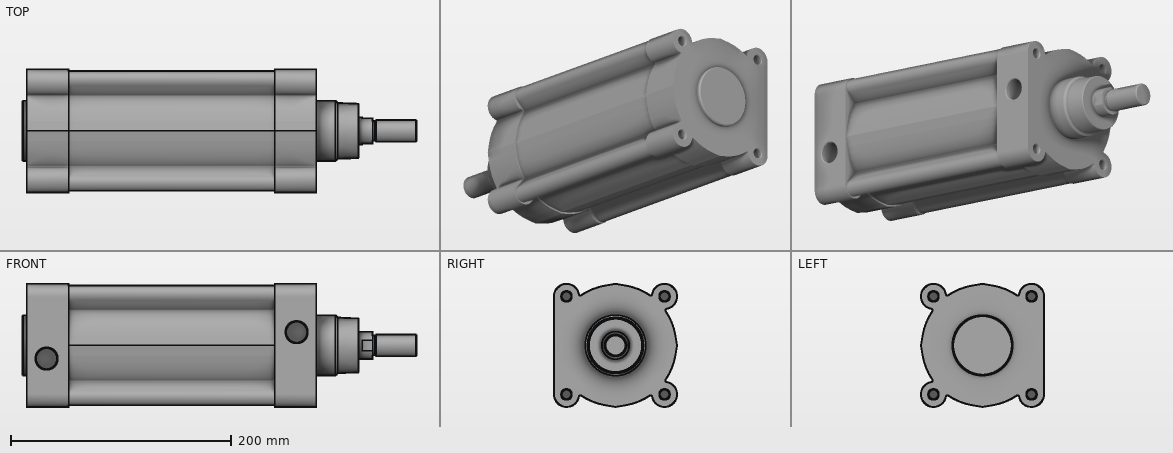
import cadquery as cq
import math

cap_length = 38.0
barrel_length = 187.0
front_cap_start = cap_length + barrel_length
front_face = front_cap_start + cap_length

cap_half_size = 56.0
corner_offset = 44.5
cap_lobe_radius = cap_half_size - corner_offset
barrel_half_size = 54.5
barrel_lobe_radius = 7.75
barrel_lobe_offset = barrel_half_size - barrel_lobe_radius
ridge_half_width = 9.2
notch_fillet = 1.3
notch_near_limit = 25.0
notch_far_limit = 38.0

screw_hole_diameter = 8.5
screw_hole_depth = 20.0
screw_hole_chamfer = 0.75

port_diameter = 19.0
port_depth = 22.0
port_chamfer = 0.75
port_inset = 18.0
port_height = 12.0

spigot_radius = 27.5
spigot_length = 4.0
spigot_chamfer = 1.0
nose_collar_length = 17.3
nose_step_length = 2.0
nose_step_radius = 25.5
nose_tip_radius = 24.8
nose_length = 38.5
nose_tip_chamfer = 0.7

rod_radius = 12.5
rod_shoulder = front_face + 51.0
thread_radius = 10.0
thread_length = 40.0
thread_start_chamfer = 1.5
thread_end_chamfer = 1.0
undercut_radius = 9.0
undercut_length = 2.0
wrench_flat_width = 23.0
wrench_flat_length = 9.5


def disc(x_start, length, radius, y=0.0, z=0.0):
    """Cylinder along +X starting at x_start."""
    plane = cq.Plane(origin=(x_start, y, z), xDir=(0, 1, 0), normal=(1, 0, 0))
    return cq.Workplane(plane).circle(radius).extrude(length)


def corner_points(offset):
    """The four (Y, Z) corners of a square with this half side."""
    return [(y, z) for y in (-offset, offset) for z in (-offset, offset)]


def ridged_round(x_start, length, half_size):
    """Round bar whose four sides rise along tangent flats to shallow ridges at half_size."""
    angle = math.asin(2 * ridge_half_width / half_size) / 2
    radius = half_size * math.cos(angle)
    touch_height = radius * math.cos(angle)
    arc_middle = radius * math.sqrt(0.5)
    quarter_turns = [(1, 0), (0, 1), (-1, 0), (0, -1)]

    def turned(y, z, turn):
        cosine, sine = turn
        return (y * cosine - z * sine, y * sine + z * cosine)

    plane = cq.Plane(origin=(x_start, 0, 0), xDir=(0, 1, 0), normal=(1, 0, 0))
    outline = cq.Workplane(plane).moveTo(half_size, 0)
    for turn in quarter_turns:
        outline = outline.lineTo(*turned(touch_height, ridge_half_width, turn))
        outline = outline.threePointArc(
            turned(arc_middle, arc_middle, turn),
            turned(ridge_half_width, touch_height, turn),
        )
        outline = outline.lineTo(*turned(0, half_size, turn))
    return outline.close().extrude(length)


def fillet_notches(body, half_size):
    """Round the inside edges where the lobes run into the round body."""

    def in_notch(edge):
        center = edge.Center()
        near, far = sorted((abs(center.y), abs(center.z)))
        return notch_near_limit < near < notch_far_limit and notch_far_limit < far < half_size

    edges = [edge for edge in body.edges("|X").vals() if in_notch(edge)]
    return body.newObject(edges).fillet(notch_fillet)


def cap_block(x_start):
    """Ridged round block with four corner lobes and a square, flat -Y side."""
    block = ridged_round(x_start, cap_length, cap_half_size)
    for y, z in corner_points(corner_offset):
        block = block.union(disc(x_start, cap_length, cap_lobe_radius, y, z))
    side_depth = cap_half_size - corner_offset + cap_lobe_radius
    side = cq.Workplane("XY").box(
        cap_length, side_depth, 2 * corner_offset, centered=(False, False, True)
    ).translate((x_start, -cap_half_size, 0))
    return fillet_notches(block.union(side), cap_half_size)


def screw_holes(face_x, direction):
    """Blind chamfered holes entering a cap from face_x, heading along direction (+1 or -1)."""
    plane = cq.Plane(origin=(face_x, 0, 0), xDir=(0, 1, 0), normal=(direction, 0, 0))
    mouth_radius = screw_hole_diameter / 2 + screw_hole_chamfer
    holes = cq.Workplane(plane).pushPoints([(y, z * direction) for y, z in corner_points(corner_offset)])
    bores = holes.circle(screw_hole_diameter / 2).extrude(screw_hole_depth)
    mouths = holes.circle(mouth_radius).extrude(screw_hole_chamfer, taper=45)
    return bores.union(mouths)


def port(x, z):
    """Chamfered blind port drilled in from the -Y side."""
    plane = cq.Plane(origin=(x, -cap_half_size, z), xDir=(1, 0, 0), normal=(0, 1, 0))
    bore = cq.Workplane(plane).circle(port_diameter / 2).extrude(port_depth)
    mouth = cq.Workplane(plane).circle(port_diameter / 2 + port_chamfer).extrude(port_chamfer, taper=45)
    return bore.union(mouth)


def make_rear_cap():
    """Rear cap with its centring spigot, screw holes and air port."""
    spigot = disc(-spigot_length, spigot_length, spigot_radius).faces("<X").chamfer(spigot_chamfer)
    cap = cap_block(0).union(spigot)
    return cap.cut(screw_holes(0, 1)).cut(port(port_inset, -port_height))


def make_nose():
    """Stepped, slightly tapered nose on the front face."""
    collar_end = front_face + nose_collar_length
    step_end = collar_end + nose_step_length
    tip = front_face + nose_length
    return (
        cq.Workplane("XY")
        .moveTo(front_face, 0)
        .lineTo(front_face, spigot_radius)
        .lineTo(collar_end, spigot_radius)
        .lineTo(step_end, nose_step_radius)
        .lineTo(tip - nose_tip_chamfer, nose_tip_radius)
        .lineTo(tip, nose_tip_radius - nose_tip_chamfer)
        .lineTo(tip, 0)
        .close()
        .revolve(360, (0, 0, 0), (1, 0, 0))
    )


def make_front_cap():
    """Front cap and nose, bored through for the rod."""
    cap = cap_block(front_cap_start).union(make_nose())
    cap = cap.cut(screw_holes(front_face, -1))
    cap = cap.cut(port(front_face - port_inset, port_height))
    rod_bore = disc(front_cap_start, cap_length + nose_length, rod_radius)
    return cap.cut(rod_bore)


def make_barrel():
    """Profiled barrel between the caps, with a webbed lobe at each corner."""
    barrel = ridged_round(cap_length, barrel_length, barrel_half_size)
    web_span = 2 * math.hypot(barrel_lobe_offset, barrel_lobe_offset)
    for angle in (45, 135):
        web = cq.Workplane("XY").box(
            barrel_length, web_span, 2 * barrel_lobe_radius, centered=(False, True, True)
        )
        web = web.rotate((0, 0, 0), (1, 0, 0), angle)
        barrel = barrel.union(web.translate((cap_length, 0, 0)))
    for y, z in corner_points(barrel_lobe_offset):
        barrel = barrel.union(disc(cap_length, barrel_length, barrel_lobe_radius, y, z))
    return fillet_notches(barrel, barrel_half_size)


def make_rod():
    """Rod through the front cap, ending in wrench flats, an undercut and the thread."""
    shank = disc(front_cap_start, rod_shoulder - front_cap_start, rod_radius)
    undercut = disc(rod_shoulder, undercut_length, undercut_radius)
    thread_start = rod_shoulder + undercut_length
    thread = disc(thread_start, thread_length - undercut_length, thread_radius)
    thread = thread.faces("<X").chamfer(thread_start_chamfer)
    thread = thread.faces(">X").chamfer(thread_end_chamfer)
    rod = shank.union(undercut).union(thread)
    flat_center = rod_shoulder - wrench_flat_length / 2
    cut_depth = rod_radius
    cut_offset = (wrench_flat_width + cut_depth) / 2
    for side in (-1, 1):
        cutter = cq.Workplane("XY").box(wrench_flat_length, cut_depth, 2 * rod_radius)
        rod = rod.cut(cutter.translate((flat_center, side * cut_offset, 0)))
    return rod


rear_cap = make_rear_cap()
barrel = make_barrel()
front_cap = make_front_cap()
rod = make_rod()

result = cq.Compound.makeCompound([rear_cap.val(), barrel.val(), front_cap.val(), rod.val()])